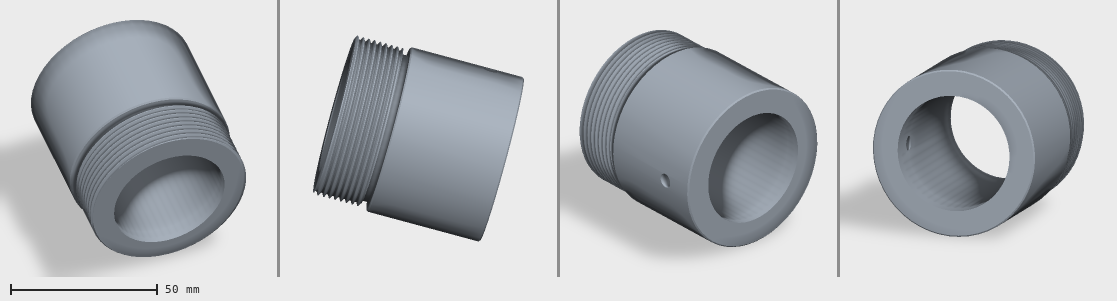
import cadquery as cq

total_length = 59.0
body_radius = 29.0
bore_radius = 20.0
body_length = 40.0
edge_chamfer = 0.5

relief_radius = 25.85
relief_fillet = 0.5
thread_start = 42.4

pitch = 2.0
thread_crest_radius = 28.0
thread_root_radius = 26.85
crest_width = pitch / 8
base_width = pitch * 0.75
first_crest_at_y = 42.25
root_overlap = 0.2

hole_diameter = 5.0
hole_x = 12.0


def make_sleeve():
    """Revolve the body, relief groove and thread core around the bore."""
    profile = (
        cq.Workplane("XZ")
        .moveTo(0, bore_radius)
        .lineTo(0, body_radius - edge_chamfer)
        .lineTo(edge_chamfer, body_radius)
        .lineTo(body_length - edge_chamfer, body_radius)
        .lineTo(body_length, body_radius - edge_chamfer)
        .lineTo(body_length, relief_radius + relief_fillet)
        .radiusArc((body_length + relief_fillet, relief_radius), -relief_fillet)
        .lineTo(thread_start, relief_radius)
        .lineTo(thread_start, thread_root_radius)
        .lineTo(total_length, thread_root_radius)
        .lineTo(total_length, bore_radius)
        .close()
    )
    return profile.revolve(360, (0, 0, 0), (1, 0, 0))


def make_thread():
    """Sweep a trapezoidal tooth along a helix and trim it flush with both end faces."""
    helix_start = first_crest_at_y - pitch
    helix_length = total_length + 2 * pitch - helix_start
    flank_slope = (base_width - crest_width) / 2 / (thread_crest_radius - thread_root_radius)
    buried_radius = thread_root_radius - root_overlap
    buried_half_width = base_width / 2 + root_overlap * flank_slope
    helix = cq.Wire.makeHelix(
        pitch, helix_length, thread_root_radius,
        center=cq.Vector(helix_start, 0, 0), dir=cq.Vector(1, 0, 0),
    )
    helix = helix.rotate(cq.Vector(0, 0, 0), cq.Vector(1, 0, 0), -90)
    tooth = (
        cq.Workplane("XY")
        .moveTo(helix_start - buried_half_width, buried_radius)
        .lineTo(helix_start - crest_width / 2, thread_crest_radius)
        .lineTo(helix_start + crest_width / 2, thread_crest_radius)
        .lineTo(helix_start + buried_half_width, buried_radius)
        .close()
        .sweep(cq.Workplane(obj=helix), isFrenet=True)
    )
    trim = (
        cq.Workplane("YZ", origin=(thread_start, 0, 0))
        .circle(body_radius)
        .extrude(total_length - thread_start)
    )
    return tooth.intersect(trim)


def make_radial_hole():
    return (
        cq.Workplane("XZ", origin=(hole_x, 0, 0))
        .circle(hole_diameter / 2)
        .extrude(-body_radius)
    )


result = make_sleeve().union(make_thread()).cut(make_radial_hole())